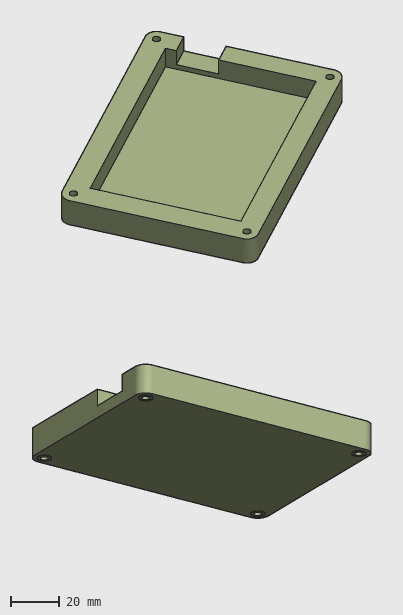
import cadquery as cq

WIDTH = 86.0
LENGTH = 116.0
BODY_HEIGHT = 13.0
CORNER_RADIUS = 5.0

LEFT_AND_FRONT_WALL = 10.4
RIGHT_AND_BACK_WALL = 9.5
FLOOR_THICKNESS = 3.0

SLOT_LEFT_OFFSET = 15.2
SLOT_WIDTH = 18.6
SLOT_DEPTH = 7.5

HOLE_DIAMETER = 3.4
PAD_DIAMETER = 6.0
PAD_HEIGHT = 0.2


def block_below_top(x_min, x_max, y_min, y_max, depth):
    """Rectangular block reaching down from the top face by depth."""
    return (
        cq.Workplane("XY", origin=(x_min, y_min, BODY_HEIGHT - depth))
        .rect(x_max - x_min, y_max - y_min, centered=False)
        .extrude(depth)
    )


def corner_cylinders(diameter, height):
    """Cylinders on the four hole axes, rising from the underside of the pads."""
    return (
        cq.Workplane("XY", origin=(0, 0, -PAD_HEIGHT))
        .rect(WIDTH - 2 * CORNER_RADIUS, LENGTH - 2 * CORNER_RADIUS, forConstruction=True)
        .vertices()
        .circle(diameter / 2)
        .extrude(height)
    )


left, right = -WIDTH / 2, WIDTH / 2
front, back = -LENGTH / 2, LENGTH / 2
cavity_back = back - RIGHT_AND_BACK_WALL
slot_left = left + SLOT_LEFT_OFFSET

body = (
    cq.Workplane("XY")
    .rect(WIDTH, LENGTH)
    .extrude(BODY_HEIGHT)
    .edges("|Z")
    .fillet(CORNER_RADIUS)
)

cavity = block_below_top(
    left + LEFT_AND_FRONT_WALL,
    right - RIGHT_AND_BACK_WALL,
    front + LEFT_AND_FRONT_WALL,
    cavity_back,
    BODY_HEIGHT - FLOOR_THICKNESS,
)

slot = block_below_top(slot_left, slot_left + SLOT_WIDTH, cavity_back, back, SLOT_DEPTH)

pads = corner_cylinders(PAD_DIAMETER, PAD_HEIGHT)
holes = corner_cylinders(HOLE_DIAMETER, PAD_HEIGHT + BODY_HEIGHT)

result = body.union(pads).cut(cavity).cut(slot).cut(holes)